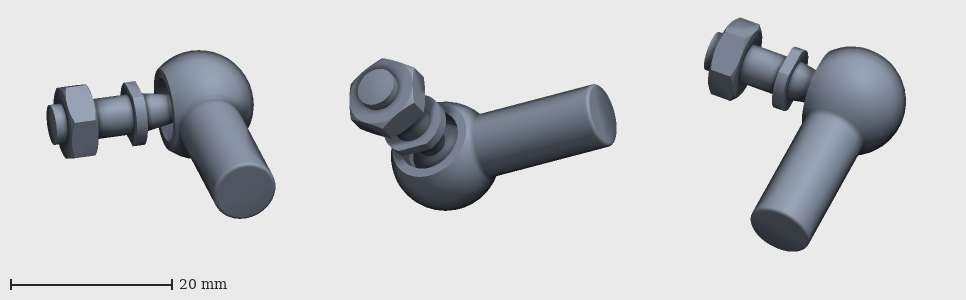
import cadquery as cq
import math


overall_length = 28.8
housing_radius = 6.8
mouth_distance = 4.44
mouth_bore_diameter = 8.0
lip_start = 2.05
shank_radius = 8.0 / 2
shank_end = overall_length - housing_radius
shank_end_round = 0.43
neck_start = 5.3
neck_end = 5.9

ball_radius = mouth_bore_diameter / 2
cone_small_radius = 1.4
cone_start = 1.45
stud_radius = 5.0 / 2
collar_radius = 8.0 / 2
collar_start = 7.65
collar_thickness = 1.38
collar_flats_width = 7.03
stud_length = 19.2
dome_height = 0.25

nut_width = 8.85
nut_start = 14.1
nut_thickness = 3.43
nut_chamfer_angle = 30
nut_turn = 30


def along_stud(distance):
    """Workplane facing -Y at the given distance from the ball centre."""
    return cq.Workplane("XZ", origin=(0, -distance, 0))


def make_housing():
    neck_radius = math.sqrt(housing_radius**2 - neck_start**2)
    neck_length = neck_end - neck_start
    neck_rise = neck_radius - shank_radius
    neck_arc_radius = (neck_length**2 + neck_rise**2) / (2 * neck_rise)
    half_neck = neck_length / 2
    neck_sag = neck_arc_radius - math.sqrt(neck_arc_radius**2 - half_neck**2)
    neck_middle = (neck_start + half_neck, shank_radius + neck_sag)
    sphere_top = (0, housing_radius)
    turned_body = (
        cq.Workplane("XY")
        .moveTo(-housing_radius, 0)
        .threePointArc(sphere_top, (neck_start, neck_radius))
        .threePointArc(neck_middle, (neck_end, shank_radius))
        .lineTo(shank_end, shank_radius)
        .lineTo(shank_end, 0)
        .close()
        .revolve(360, (0, 0, 0), (1, 0, 0))
        .faces(">X").edges().fillet(shank_end_round)
    )
    beyond_mouth = along_stud(mouth_distance).rect(
        2 * shank_end, 4 * housing_radius
    ).extrude(housing_radius)
    bore_radius = mouth_bore_diameter / 2
    socket = (
        cq.Workplane("XY")
        .lineTo(bore_radius - lip_start, 0)
        .lineTo(bore_radius, -lip_start)
        .lineTo(bore_radius, -housing_radius)
        .lineTo(0, -housing_radius)
        .close()
        .revolve(360, (0, 0, 0), (0, 1, 0))
    )
    return turned_body.cut(beyond_mouth).cut(socket)


def make_stud():
    """Ball, tapered neck and domed pin turned about the Y axis."""
    dome_edge = stud_length - dome_height
    dome_radius = (stud_radius**2 + dome_height**2) / (2 * dome_height)
    half_chord = stud_radius / 2
    dome_middle = stud_length - dome_radius + math.sqrt(dome_radius**2 - half_chord**2)
    pin = (
        cq.Workplane("XY")
        .moveTo(0, -cone_start)
        .lineTo(cone_small_radius, -cone_start)
        .lineTo(stud_radius, -collar_start)
        .lineTo(stud_radius, -dome_edge)
        .threePointArc((half_chord, -dome_middle), (0, -stud_length))
        .close()
        .revolve(360, (0, 0, 0), (0, 1, 0))
    )
    ball = cq.Workplane("XY").sphere(ball_radius)
    return ball.union(pin)


def make_collar():
    disc = along_stud(collar_start).circle(collar_radius).extrude(collar_thickness)
    flats = along_stud(collar_start).rect(
        2 * collar_radius, collar_flats_width
    ).extrude(collar_thickness)
    return disc.intersect(flats)


def make_nut():
    corner_radius = nut_width / math.sqrt(3)
    face_radius = nut_width / 2
    chamfer_slope = math.tan(math.radians(nut_chamfer_angle))
    chamfer_depth = (corner_radius - face_radius) * chamfer_slope
    nut_end = nut_start + nut_thickness
    hexagon = (
        along_stud(nut_start)
        .polygon(6, 2 * corner_radius)
        .extrude(nut_thickness)
        .rotate((0, 0, 0), (0, 1, 0), nut_turn)
    )
    chamfered_round = (
        cq.Workplane("XY")
        .moveTo(0, -nut_start)
        .lineTo(face_radius, -nut_start)
        .lineTo(corner_radius, -nut_start - chamfer_depth)
        .lineTo(corner_radius, -nut_end + chamfer_depth)
        .lineTo(face_radius, -nut_end)
        .lineTo(0, -nut_end)
        .close()
        .revolve(360, (0, 0, 0), (0, 1, 0))
    )
    return hexagon.intersect(chamfered_round)


result = make_housing().union(make_stud()).union(make_collar()).union(make_nut())